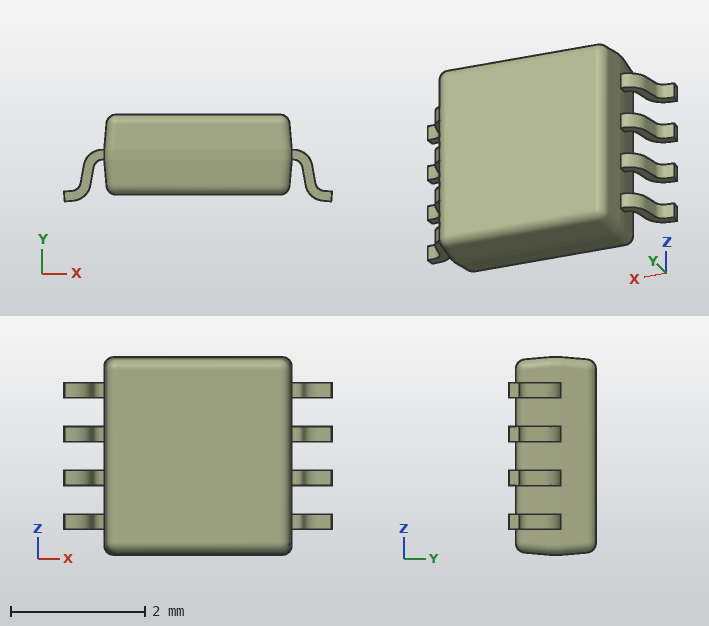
import cadquery as cq
import math


span_x = 4.0
total_height = 1.3

housing_x = 2.8
housing_z = 2.95
standoff = 0.1
draft_angle = 5.0
edge_radius = 0.15
housing_mid_y = (standoff + total_height) / 2

lead_thickness = 0.15
lead_width = 0.23
lead_pitch = 0.65
leads_per_side = 4
inner_bend_radius = 0.135
outer_bend_radius = inner_bend_radius + lead_thickness
foot_length = 0.13
leg_lean = math.radians(10)
foot_tilt = math.radians(5)

band_height = lead_thickness
drafted_height = (total_height - standoff - band_height) / 2


def make_housing():
    """Drafted, rounded block on each side of a straight band that continues their outline."""
    lower = (
        cq.Workplane("XZ", origin=(0, housing_mid_y - band_height / 2, 0))
        .rect(housing_x, housing_z)
        .extrude(drafted_height, taper=draft_angle)
        .edges("<Y or (not (|X or |Z))")
        .fillet(edge_radius)
    )
    band = (
        lower.faces(">Y").wires().toPending()
        .workplane()
        .extrude(band_height, combine=False)
    )
    upper = lower.mirror("XZ", (0, housing_mid_y, 0))
    return lower.union(band).union(upper)


def arc_point(center, radius, angle):
    """Point on a circle in the XY plane, with the angle measured from +X."""
    return (center[0] + radius * math.cos(angle), center[1] + radius * math.sin(angle))


def shift(point, direction, distance):
    """Point moved along a unit direction in the XY plane."""
    return (point[0] + distance * direction[0], point[1] + distance * direction[1])


def make_lead(z_center):
    """Gull-wing lead on the +X side, butted against the housing band."""
    foot_direction = (math.cos(foot_tilt), -math.sin(foot_tilt))

    lower_center = (
        span_x / 2 + inner_bend_radius * math.sin(foot_tilt) - foot_length * math.cos(foot_tilt),
        outer_bend_radius * math.cos(foot_tilt) + foot_length * math.sin(foot_tilt),
    )
    lead_top = housing_mid_y + lead_thickness / 2
    upper_center_y = lead_top - outer_bend_radius
    bend_radii = inner_bend_radius + outer_bend_radius
    leg_drop = upper_center_y - lower_center[1] + bend_radii * math.sin(leg_lean)
    upper_center = (
        lower_center[0] - bend_radii * math.cos(leg_lean) - leg_drop * math.tan(leg_lean),
        upper_center_y,
    )

    upper_start = math.pi / 2
    upper_end = leg_lean
    upper_middle = (upper_start + upper_end) / 2
    lower_start = math.pi + leg_lean
    lower_end = 3 * math.pi / 2 - foot_tilt
    lower_middle = (lower_start + lower_end) / 2

    wall_x = housing_x / 2
    foot_top = arc_point(lower_center, inner_bend_radius, lower_end)
    foot_bottom = arc_point(lower_center, outer_bend_radius, lower_end)
    profile = (
        cq.Workplane("XY", origin=(0, 0, z_center - lead_width / 2))
        .moveTo(wall_x, lead_top)
        .lineTo(*arc_point(upper_center, outer_bend_radius, upper_start))
        .threePointArc(
            arc_point(upper_center, outer_bend_radius, upper_middle),
            arc_point(upper_center, outer_bend_radius, upper_end),
        )
        .lineTo(*arc_point(lower_center, inner_bend_radius, lower_start))
        .threePointArc(arc_point(lower_center, inner_bend_radius, lower_middle), foot_top)
        .lineTo(*shift(foot_top, foot_direction, foot_length))
        .lineTo(*shift(foot_bottom, foot_direction, foot_length))
        .lineTo(*foot_bottom)
        .threePointArc(
            arc_point(lower_center, outer_bend_radius, lower_middle),
            arc_point(lower_center, outer_bend_radius, lower_start),
        )
        .lineTo(*arc_point(upper_center, inner_bend_radius, upper_end))
        .threePointArc(
            arc_point(upper_center, inner_bend_radius, upper_middle),
            arc_point(upper_center, inner_bend_radius, upper_start),
        )
        .lineTo(wall_x, lead_top - lead_thickness)
        .close()
    )
    return profile.extrude(lead_width)


housing = make_housing()

leads = []
for index in range(leads_per_side):
    z_center = (index - (leads_per_side - 1) / 2) * lead_pitch
    right_lead = make_lead(z_center)
    left_lead = right_lead.mirror("YZ")
    leads += [right_lead.val(), left_lead.val()]

result = cq.Compound.makeCompound([housing.solids().val(), *leads])